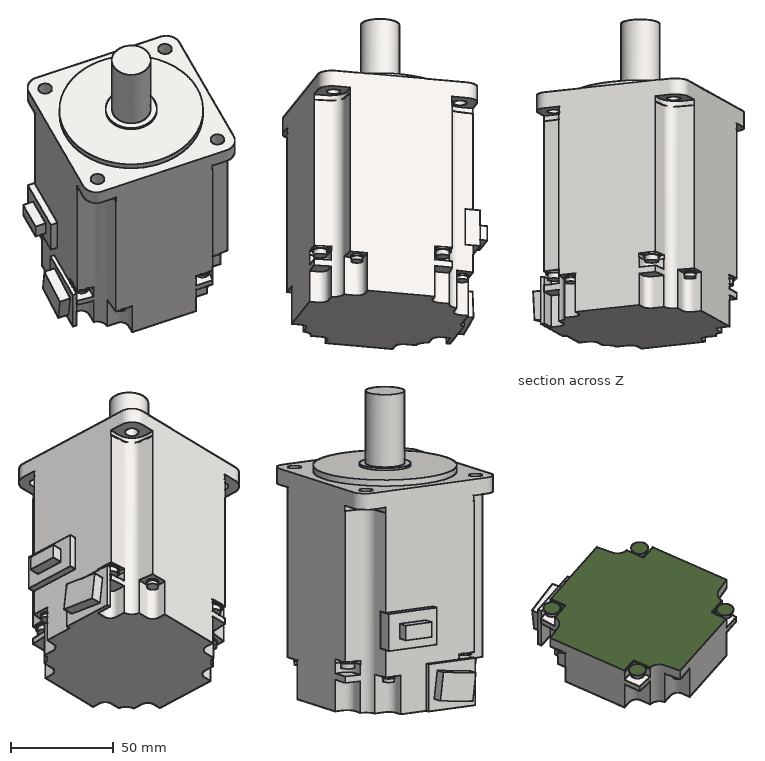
import cadquery as cq
import math

body_side = 80.0
half_side = body_side / 2
flange_bottom = 104.0
flange_top = 112.0
flange_corner_radius = 7.0
hole_circle_diameter = 90.0
hole_spacing = hole_circle_diameter / math.sqrt(2)
hole_diameter = 6.6

pilot_diameter = 70.0
pilot_top = 115.0
collar_diameter = 25.0
collar_top = 116.0
shaft_diameter = 19.0
shaft_end = 152.0

notch_mouth = 25.7
notch_bend = 26.5
notch_depth = 31.6
notch_flare_angle = math.atan2(notch_bend - notch_mouth, half_side - notch_depth)
notch_half_arc_angle = math.pi / 4 - notch_flare_angle
notch_half_chord = (notch_depth - notch_bend) / math.sqrt(2)
notch_arc_rise = notch_half_chord * math.tan(notch_half_arc_angle / 2)
notch_arc_middle = (notch_depth + notch_bend) / 2 - notch_arc_rise / math.sqrt(2)
relief_bottom = 101.3
relief_wall = 25.55
relief_radius = 9.1

pocket_wall = 17.0
pocket_floor = notch_depth
pocket_radius = 4.2
low_pocket_top = 19.4
high_pocket_top = 26.0
bridge_bottom = 15.8
bridge_top = 19.0
seat_bottom = 24.1
seat_clearance = 0.1

low_screw_along = 21.2
low_screw_out = 35.7
low_washer_diameter = 6.1
low_washer_thickness = 0.9
low_washer_gap = 0.5
low_shank_diameter = 4.0
low_head_diameter = 5.6
low_head_height = 1.8
high_screw_along = 21.9
high_washer_diameter = 8.4
high_washer_overhang = 0.22
high_washer_thickness = 1.0
high_screw_out = half_side + high_washer_overhang - high_washer_diameter / 2
high_head_diameter = 6.7
high_head_height = 2.7

upper_plate_left = -26.2
upper_plate_width = 28.0
upper_plate_bottom = 33.2
upper_plate_height = 18.4
upper_plate_back = -36.0
upper_plate_front = -43.5
upper_plug_width = 15.2
upper_plug_height = 7.4
upper_plug_front = -48.8

lower_plate_left = -2.1
lower_plate_width = 27.2
lower_plate_height = 23.5
lower_plate_front = -42.0
lower_plug_width = 19.0
lower_plug_height = 14.1
lower_plug_front = -47.5
lower_plug_tilt = 7.2


def disc(diameter, bottom, top, x=0.0, y=0.0):
    """Upright cylinder between two heights."""
    return cq.Workplane("XY", origin=(x, y, bottom)).circle(diameter / 2).extrude(top - bottom)


def block(x_range, y_range, z_range):
    """Box given by its limits along each axis."""
    size = [high - low for low, high in (x_range, y_range, z_range)]
    corner = (x_range[0], y_range[0], z_range[0])
    return cq.Workplane("XY", origin=corner).box(*size, centered=False)


def around_axis(shape, turns):
    """Copies of a shape turned by quarter turns about the Z axis."""
    return [shape.rotate((0, 0, 0), (0, 0, 1), 90 * turn) for turn in turns]


def make_flange():
    flange = (
        cq.Workplane("XY", origin=(0, 0, flange_bottom))
        .rect(body_side, body_side)
        .extrude(flange_top - flange_bottom)
        .edges("|Z")
        .fillet(flange_corner_radius)
    )
    holes = (
        cq.Workplane("XY", origin=(0, 0, flange_bottom))
        .rect(hole_spacing, hole_spacing, forConstruction=True)
        .vertices()
        .circle(hole_diameter / 2)
        .extrude(flange_top - flange_bottom)
    )
    return flange.cut(holes)


def make_corner_notch():
    """Space removed from the (-X, -Y) corner: flared walls joined by a tangent arc, wider at the top."""
    long_notch = (
        cq.Workplane("XY")
        .moveTo(-half_side, -half_side)
        .lineTo(-half_side, -notch_mouth)
        .lineTo(-notch_depth, -notch_bend)
        .threePointArc((-notch_arc_middle, -notch_arc_middle), (-notch_bend, -notch_depth))
        .lineTo(-notch_mouth, -half_side)
        .close()
        .extrude(flange_bottom)
    )
    relief = block(
        (-half_side, -relief_wall), (-half_side, -relief_wall), (relief_bottom, flange_bottom)
    )
    relief = relief.edges("|Z and >X and >Y").fillet(relief_radius)
    return long_notch.union(relief)


def make_pocket(bottom, top):
    """Screw pocket in the -X face, open towards the (-X, -Y) corner notch."""
    pocket = block((-half_side, -pocket_floor), (-notch_depth, -pocket_wall), (bottom, top))
    return pocket.edges("|Z and >X and >Y").fillet(pocket_radius)


def mirror_to_front(shape):
    """Reflect across the X = Y plane, moving a -X face feature to the -Y face."""
    return shape.mirror("YZ").rotate((0, 0, 0), (0, 0, 1), -90)


def make_screw(out, along, washer_top, washer_diameter, washer_thickness, head_diameter, head_height):
    """Washer and screw head below the given height, near the -X face."""
    washer_bottom = washer_top - washer_thickness
    washer = disc(washer_diameter, washer_bottom, washer_top, -out, -along)
    head = disc(head_diameter, washer_bottom - head_height, washer_bottom, -out, -along)
    return washer.union(head)


def make_high_pocket():
    """Part of the high pocket above the bridge, with its slightly wider square-cornered seat."""
    seat = block(
        (-half_side, -pocket_floor + seat_clearance),
        (-notch_depth, -pocket_wall + seat_clearance),
        (seat_bottom, high_pocket_top),
    )
    return make_pocket(bridge_top, high_pocket_top).union(seat)


def make_high_screw():
    return make_screw(
        high_screw_out,
        high_screw_along,
        high_pocket_top,
        high_washer_diameter,
        high_washer_thickness,
        high_head_diameter,
        high_head_height,
    )


def make_low_screw():
    """Low screw, whose shank shows in a small gap between washer and pocket roof."""
    washer_top = low_pocket_top - low_washer_gap
    screw = make_screw(
        low_screw_out,
        low_screw_along,
        washer_top,
        low_washer_diameter,
        low_washer_thickness,
        low_head_diameter,
        low_head_height,
    )
    shank = disc(low_shank_diameter, washer_top, low_pocket_top, -low_screw_out, -low_screw_along)
    return screw.union(shank)


def make_body():
    body = block((-half_side, half_side), (-half_side, half_side), (0, flange_bottom))
    high_pocket = make_high_pocket()
    below_bridge = make_pocket(0, bridge_bottom)
    low_pocket = mirror_to_front(make_pocket(0, low_pocket_top))
    high_screw = make_high_screw()
    low_screw = make_low_screw()
    for space in (make_corner_notch(), high_pocket, below_bridge, low_pocket):
        for turned in around_axis(space, range(4)):
            body = body.cut(turned)
    for screw in (high_screw, mirror_to_front(low_screw)):
        for turned in around_axis(screw, range(4)):
            body = body.union(turned)
    return body


def make_upper_connector():
    plate_right = upper_plate_left + upper_plate_width
    plate_top = upper_plate_bottom + upper_plate_height
    plate = block(
        (upper_plate_left, plate_right),
        (upper_plate_front, upper_plate_back),
        (upper_plate_bottom, plate_top),
    )
    return (
        plate.faces("<Y")
        .workplane(centerOption="CenterOfMass")
        .rect(upper_plug_width, upper_plug_height)
        .extrude(upper_plate_front - upper_plug_front)
    )


def make_lower_connector():
    plate_right = lower_plate_left + lower_plate_width
    plate = block(
        (lower_plate_left, plate_right), (lower_plate_front, -half_side), (0, lower_plate_height)
    )
    return (
        plate.faces("<Y")
        .workplane(centerOption="CenterOfMass")
        .transformed(rotate=(0, 0, -lower_plug_tilt))
        .rect(lower_plug_width, lower_plug_height)
        .extrude(lower_plate_front - lower_plug_front)
    )


result = (
    make_body()
    .union(make_flange())
    .union(disc(pilot_diameter, flange_top, pilot_top))
    .union(disc(collar_diameter, pilot_top, collar_top))
    .union(disc(shaft_diameter, collar_top, shaft_end))
    .union(make_upper_connector())
    .union(make_lower_connector())
)